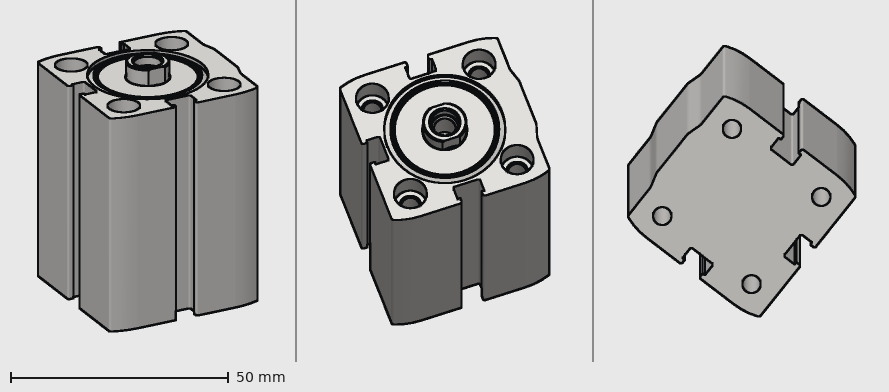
import cadquery as cq
import math

total_height = 57.0
width = 38.5
half_width = width / 2
rod_projection = 3.5
housing_height = total_height - rod_projection
pad_rise = 1.0

flat_side_half_length = 12.7
end_face_half_width = 17.95
corner_radius = 0.7
pad_top_half_width = 5.85
pad_base_half_width = 9.3
pad_blend_radius = 3.4

slot_opening = 5.2
slot_inner_width = 6.5
slot_depth = 4.5
slot_lip = 1.3
slot_edge_radius = 0.45

hole_offset = 13.0
counterbore_diameter = 7.5
counterbore_depth = 6.0
hole_diameter = 4.2
hole_chamfer_diameter = 4.9

cap_recess_diameter = 27.8
cap_recess_depth = 1.1
cap_crest_diameter = 25.0
cap_crest_depth = 0.15
cap_lip_diameter = 24.05
cap_lip_depth = 0.35
cap_groove_diameter = 23.7
cap_groove_depth = 0.75
cap_disc_diameter = 22.95
cap_disc_depth = 0.5
cap_face_z = housing_height - cap_disc_depth

rod_diameter = 10.0
rod_length = 25.0
rod_bottom_z = total_height - rod_length
rod_tip_chamfer = 0.2
flats_width = 9.0
shoulder_chamfer = (rod_diameter - flats_width) / 2
shoulder_z = cap_face_z - 0.2
bore_mouth_diameter = 10.4

socket_mouth_diameter = 7.2
socket_diameter = 6.4
socket_depth = 2.5
thread_diameter = 6.0
core_diameter = 4.9
core_depth = 10.0
drill_point_angle = 118.0


def revolve_profile(points):
    """Revolve a closed outline of (radius, z) points about the Z axis."""
    return cq.Workplane("XZ").polyline(points).close().revolve(360, (0, 0, 0), (0, 1, 0))


def housing_outline():
    """Extrusion with bulged sides and a raised pad on the +Y face."""
    bulge_inset = half_width - end_face_half_width
    bulge_length = half_width - flat_side_half_length
    bulge_radius = (bulge_inset**2 + bulge_length**2) / (2 * bulge_inset)
    half_angle = math.asin(bulge_length / bulge_radius) / 2
    bulge_mid_x = half_width - bulge_radius * (1 - math.cos(half_angle))
    bulge_mid_y = flat_side_half_length + bulge_radius * math.sin(half_angle)

    block = (
        cq.Workplane("XY")
        .moveTo(-end_face_half_width, -half_width)
        .lineTo(end_face_half_width, -half_width)
        .threePointArc((bulge_mid_x, -bulge_mid_y), (half_width, -flat_side_half_length))
        .lineTo(half_width, flat_side_half_length)
        .threePointArc((bulge_mid_x, bulge_mid_y), (end_face_half_width, half_width))
        .lineTo(pad_base_half_width, half_width)
        .lineTo(pad_top_half_width, half_width + pad_rise)
        .lineTo(-pad_top_half_width, half_width + pad_rise)
        .lineTo(-pad_base_half_width, half_width)
        .lineTo(-end_face_half_width, half_width)
        .threePointArc((-bulge_mid_x, bulge_mid_y), (-half_width, flat_side_half_length))
        .lineTo(-half_width, -flat_side_half_length)
        .threePointArc((-bulge_mid_x, -bulge_mid_y), (-end_face_half_width, -half_width))
        .close()
        .extrude(housing_height)
    )
    corners = [(sx * end_face_half_width, sy * half_width) for sx in (-1, 1) for sy in (-1, 1)]
    pad_corners = [
        (side * x, y)
        for side in (-1, 1)
        for x, y in (
            (pad_base_half_width, half_width),
            (pad_top_half_width, half_width + pad_rise),
        )
    ]
    block = fillet_upright_edges(block, corners, corner_radius)
    return fillet_upright_edges(block, pad_corners, pad_blend_radius)


def fillet_upright_edges(body, places, radius):
    """Round the vertical edges that stand at the given (x, y) places."""
    tolerance = 0.005
    picked = cq.Workplane("XY")
    for x, y in places:
        low = (x - tolerance, y - tolerance, -tolerance)
        high = (x + tolerance, y + tolerance, housing_height + tolerance)
        picked = picked.add(body.edges(cq.selectors.BoxSelector(low, high, boundingbox=True)))
    return body.newObject(picked.vals()).fillet(radius)


def cut_t_slot(body, angle):
    """Cut a full-height T-slot into the -Y face turned by angle about Z."""
    floor_y = slot_depth - half_width
    lip_y = slot_lip - half_width
    pocket = (
        cq.Workplane("XY")
        .center(0, (floor_y + lip_y) / 2)
        .rect(slot_inner_width, lip_y - floor_y)
        .extrude(housing_height)
        .edges("|Z and >Y")
        .fillet(slot_edge_radius)
    )
    mouth = (
        cq.Workplane("XY")
        .center(0, (lip_y - half_width) / 2)
        .rect(slot_opening, slot_lip)
        .extrude(housing_height)
    )
    slot = pocket.union(mouth).rotate((0, 0, 0), (0, 0, 1), angle)
    slotted = body.cut(slot)

    turn = math.radians(angle)
    lips = [
        (
            x * math.cos(turn) + half_width * math.sin(turn),
            x * math.sin(turn) - half_width * math.cos(turn),
        )
        for x in (-slot_opening / 2, slot_opening / 2)
    ]
    return fillet_upright_edges(slotted, lips, slot_edge_radius)


def mounting_hole_cutter():
    """Counterbored through hole with a chamfer below the counterbore."""
    floor_z = housing_height - counterbore_depth
    chamfer = (hole_chamfer_diameter - hole_diameter) / 2
    return revolve_profile(
        [
            (0, 0),
            (hole_diameter / 2, 0),
            (hole_diameter / 2, floor_z - chamfer),
            (hole_chamfer_diameter / 2, floor_z),
            (counterbore_diameter / 2, floor_z),
            (counterbore_diameter / 2, housing_height),
            (0, housing_height),
        ]
    )


def cap_recess_cutter():
    """Space above the end cap: sloped ring, V groove, disc and the rod bore."""
    mouth_chamfer = (bore_mouth_diameter - rod_diameter) / 2
    return revolve_profile(
        [
            (0, rod_bottom_z),
            (rod_diameter / 2, rod_bottom_z),
            (rod_diameter / 2, cap_face_z - mouth_chamfer),
            (bore_mouth_diameter / 2, cap_face_z),
            (cap_disc_diameter / 2, cap_face_z),
            (cap_groove_diameter / 2, housing_height - cap_groove_depth),
            (cap_lip_diameter / 2, housing_height - cap_lip_depth),
            (cap_crest_diameter / 2, housing_height - cap_crest_depth),
            (cap_recess_diameter / 2, housing_height - cap_recess_depth),
            (cap_recess_diameter / 2, housing_height),
            (0, housing_height),
        ]
    )


def make_housing():
    body = housing_outline()
    for angle in (0, 90, -90):
        body = cut_t_slot(body, angle)
    for x in (-hole_offset, hole_offset):
        for y in (-hole_offset, hole_offset):
            body = body.cut(mounting_hole_cutter().translate((x, y, 0)))
    return body.cut(cap_recess_cutter())


def socket_cutter():
    """Threaded socket with a counterbore and a drill point."""
    mouth_chamfer = (socket_mouth_diameter - socket_diameter) / 2
    ledge_z = total_height - socket_depth
    thread_chamfer = (thread_diameter - core_diameter) / 2
    core_end_z = total_height - core_depth
    point_length = core_diameter / 2 / math.tan(math.radians(drill_point_angle / 2))
    return revolve_profile(
        [
            (0, core_end_z - point_length),
            (core_diameter / 2, core_end_z),
            (core_diameter / 2, ledge_z - thread_chamfer),
            (thread_diameter / 2, ledge_z),
            (socket_diameter / 2, ledge_z),
            (socket_diameter / 2, total_height - mouth_chamfer),
            (socket_mouth_diameter / 2, total_height),
            (0, total_height),
        ]
    )


def make_piston_rod():
    """Round rod whose end has two wrench flats above a conical shoulder."""
    shank = (
        cq.Workplane("XY", origin=(0, 0, rod_bottom_z))
        .circle(rod_diameter / 2)
        .extrude(shoulder_z - rod_bottom_z)
        .faces(">Z")
        .chamfer(shoulder_chamfer)
    )
    end = (
        cq.Workplane("XY", origin=(0, 0, rod_bottom_z))
        .circle(rod_diameter / 2)
        .extrude(rod_length)
        .faces(">Z")
        .chamfer(rod_tip_chamfer)
    )
    flats = (
        cq.Workplane("XY", origin=(0, 0, rod_bottom_z))
        .rect(flats_width, rod_diameter)
        .extrude(rod_length)
    )
    return shank.union(end.intersect(flats)).cut(socket_cutter())


housing = make_housing()
piston_rod = make_piston_rod()
result = cq.Compound.makeCompound([housing.val(), piston_rod.val()])